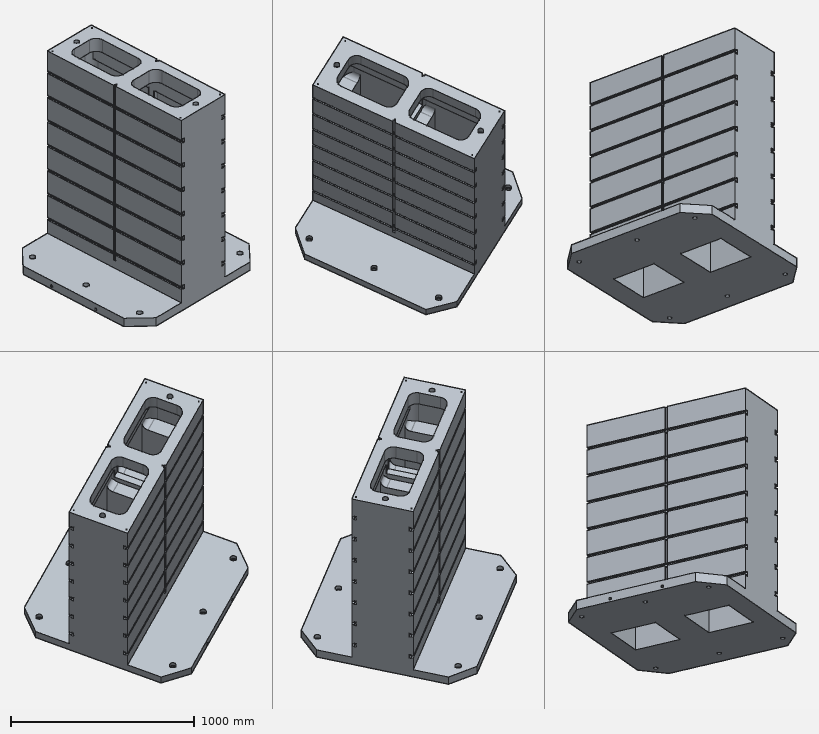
import cadquery as cq
import math

width = 1000.0
base_depth = 1000.0
height = 1250.0

base_thickness = 55.0
base_corner_cut = 125.0
bolt_pitch = 400.0
bolt_hole_diameter = 24.0
bolt_bore_diameter = 35.0
bolt_bore_depth = 25.0

edge_hole_diameter = 14.0
edge_hole_x = 165.0
edge_hole_z = 19.0
edge_hole_depth = 20.0

column_depth = 350.0
column_front = column_depth / 2

slot_count = 7
slot_pitch = 160.0
lowest_slot_z = 150.0
slot_neck_height = 15.0
slot_head_height = 25.0
slot_depth = 25.0
slot_head_depth = 11.0

groove_width = 15.0
groove_depth = 10.0
groove_bottom_z = 105.0

pin_hole_diameter = 5.0
pin_hole_x = 478.0
pin_hole_y = 158.0
pin_hole_depth = 10.0

lift_hole_diameter = 31.0
lift_hole_x = 445.0
lift_hole_depth = 40.0
drill_tip_angle = 118.0

flange_thickness = 85.0
mouth_inner_x = 40.0
mouth_outer_x = 405.0
mouth_half_depth = 110.0
mouth_corner_radius = 50.0

web_thickness = 40.0
chamber_outer_x = 460.0
chamber_half_depth = 132.0
chamber_floor_z = 980.0
chamber_outer_radius = 50.0
chamber_inner_radius = 15.0
chamber_floor_fillet = 35.0

lip_thickness = 9.0
lip_height = 85.0

shaft_inner_x = 91.0
shaft_outer_x = 371.0

web_half = web_thickness / 2
lip_half_depth = chamber_half_depth - lip_thickness
flange_bottom_z = height - flange_thickness
lip_bottom_z = flange_bottom_z - lip_height
window_bottom_z = chamber_floor_z + chamber_floor_fillet


def box(x_min, x_max, y_min, y_max, z_min, z_max):
    """Axis-aligned block between the given limits."""
    block = cq.Workplane("XY").box(x_max - x_min, y_max - y_min, z_max - z_min, centered=False)
    return block.translate((x_min, y_min, z_min))


def in_both_halves(shape):
    """The shape on the +X side together with its mirror image."""
    return shape.union(shape.mirror("YZ"))


def on_both_faces(shape):
    """The shape at the -Y face together with its mirror image."""
    return shape.union(shape.mirror("XZ"))


def drill(diameter, depth):
    """Blind drilled hole going down from the origin, with a conical tip."""
    radius = diameter / 2
    tip_length = radius / math.tan(math.radians(drill_tip_angle / 2))
    profile = cq.Workplane("XZ").polyline(
        [(0, 0), (radius, 0), (radius, -depth), (0, -depth - tip_length)]
    )
    return profile.close().revolve(360, (0, 0, 0), (0, 1, 0))


def base_plate():
    plate = cq.Workplane("XY").box(width, base_depth, base_thickness, centered=(True, True, False))
    plate = plate.edges("|Z").chamfer(base_corner_cut)
    bolt_points = [(column * bolt_pitch, row * bolt_pitch) for column in (-1, 0, 1) for row in (-1, 1)]
    plate = plate.faces(">Z").workplane().pushPoints(bolt_points)
    plate = plate.cboreHole(bolt_hole_diameter, bolt_bore_diameter, bolt_bore_depth)
    edge_hole = drill(edge_hole_diameter, edge_hole_depth).rotate((0, 0, 0), (1, 0, 0), 90)
    edge_hole = edge_hole.translate((edge_hole_x, -base_depth / 2, edge_hole_z))
    return plate.cut(in_both_halves(edge_hole))


def t_slots():
    """All T-slots of the -Y face: a narrow neck and an undercut head."""
    layers = [
        (slot_neck_height, 0, slot_depth),
        (slot_head_height, slot_depth - slot_head_depth, slot_depth),
    ]
    slots = cq.Workplane("XY")
    for index in range(slot_count):
        z = lowest_slot_z + index * slot_pitch
        for layer_height, start, end in layers:
            half = layer_height / 2
            slots = slots.add(
                box(-width / 2, width / 2, start - column_front, end - column_front, z - half, z + half)
            )
    return slots.combine()


def groove():
    """Vertical groove of the -Y face, open at the top."""
    half = groove_width / 2
    return box(-half, half, -column_front, groove_depth - column_front, groove_bottom_z, height)


def pin_holes():
    """Row of fine top holes along the -Y face."""
    points = [(column * pin_hole_x, -pin_hole_y) for column in (-1, 0, 1)]
    holes = cq.Workplane("XY").workplane(offset=height).pushPoints(points)
    return holes.circle(pin_hole_diameter / 2).extrude(-pin_hole_depth)


def mouth():
    """Rounded opening through the top flange, +X side."""
    opening = box(
        mouth_inner_x, mouth_outer_x, -mouth_half_depth, mouth_half_depth, flange_bottom_z, height
    )
    return opening.edges("|Z").fillet(mouth_corner_radius)


def chamber():
    """Chamber below the flange with a filleted floor, +X side."""
    half = chamber_half_depth
    room = box(web_half, chamber_outer_x, -half, half, chamber_floor_z, flange_bottom_z)
    room = room.edges("|Z and >X").fillet(chamber_outer_radius)
    room = room.edges("|Z and <X").fillet(chamber_inner_radius)
    trough = box(0, width, -half, half, chamber_floor_z, height)
    trough = trough.edges("|X and <Z").fillet(chamber_floor_fillet)
    lip = box(0, width, -half, -lip_half_depth, lip_bottom_z, flange_bottom_z)
    return room.intersect(trough).cut(on_both_faces(lip))


def shaft():
    """Straight shaft from the chamber floor through the base, +X side."""
    half = chamber_half_depth
    return box(shaft_inner_x, shaft_outer_x, -half, half, 0, chamber_floor_z + chamber_floor_fillet)


def web_window():
    """Opening in the web that joins the two chambers, wide enough at the top to run flush with the lips."""
    half = lip_half_depth
    top_half = web_half + chamber_inner_radius
    window = box(-web_half, web_half, -half, half, window_bottom_z, flange_bottom_z)
    return window.union(box(-top_half, top_half, -half, half, lip_bottom_z, flange_bottom_z))


column = box(-width / 2, width / 2, -column_front, column_front, 0, height)
result = base_plate().union(column)
for face_feature in (t_slots(), groove(), pin_holes()):
    result = result.cut(on_both_faces(face_feature))
for hollow in (mouth(), chamber(), shaft()):
    result = result.cut(in_both_halves(hollow))
result = result.cut(web_window())
lift_hole = drill(lift_hole_diameter, lift_hole_depth).translate((lift_hole_x, 0, height))
result = result.cut(in_both_halves(lift_hole))